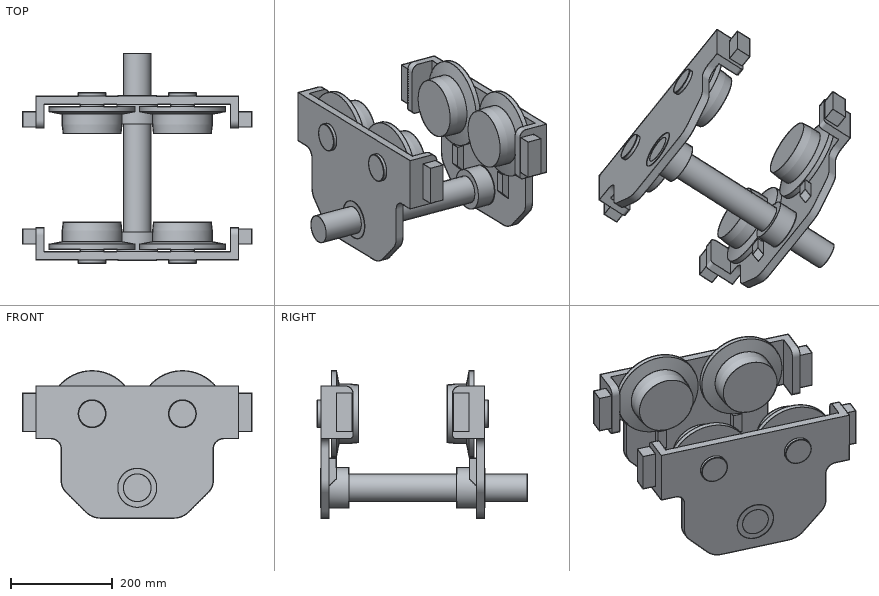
import cadquery as cq


plate_length = 398.0
plate_thickness = 16.0
plate_outer_y = 160.5
plate_inner_y = plate_outer_y - plate_thickness
plate_top_z = 200.0
plate_bottom_z = -60.0
ear_height = 103.5
ear_bottom_z = plate_top_z - ear_height
web_width = 299.0
corner_chamfer = 60.8
web_corner_radius = 32.5
foot_corner_radius = 42.8
ear_notch_radius = 20.0

ear_depth = 63.0
ear_top_radius = 15.0
ear_bottom_radius = 7.0

buffer_length = 26.0
buffer_width = 30.0
buffer_height = 75.0
buffer_setback = 30.5
buffer_z = plate_top_z - ear_height / 2

wheel_spacing = 177.5
wheel_z = 145.5
pin_head_diameter = 54.5
pin_head_height = 7.0
pin_tip_diameter = 52.5
pin_chamfer = 1.0
pin_neck_diameter = 47.0
pin_neck_length = 4.5
flange_diameter = 169.0
flange_thickness = 10.0
flange_cone_width = 5.0
tread_diameter = 117.5
tread_width = 21.0
nose_diameter = 113.5
nose_width = 17.0

lug_spacing = 159.5
lug_width = 18.0
lug_thickness = 14.0
lug_top_z = 58.0
lug_toe_z = 3.5

shaft_diameter = 54.5
shaft_rear_y = 244.5
bush_collar_diameter = 80.0
bush_collar_length = 38.5
bush_spigot_diameter = 76.5
bush_protrusion = 1.0
bush_outer_y = plate_outer_y + bush_protrusion


def cylinder_y(diameter, y_start, y_end):
    """Cylinder on the shaft axis between two Y positions."""
    axis_start = cq.Vector(0, y_start, 0)
    cylinder = cq.Solid.makeCylinder(diameter / 2, y_end - y_start, axis_start, cq.Vector(0, 1, 0))
    return cq.Workplane(cylinder)


def box_between(x_start, x_end, y_start, y_end, z_start, z_end):
    """Box given by its limits along each axis."""
    size = (x_end - x_start, y_end - y_start, z_end - z_start)
    return cq.Workplane().box(*size, centered=False).translate((x_start, y_start, z_start))


def make_plate():
    """Flat side plate with clipped lower corners and the hole for a bush."""
    half_length = plate_length / 2
    half_web = web_width / 2
    half_foot = half_web - corner_chamfer
    chamfer_top_z = plate_bottom_z + corner_chamfer
    right_side = [
        (half_foot, plate_bottom_z),
        (half_web, chamfer_top_z),
        (half_web, ear_bottom_z),
        (half_length, ear_bottom_z),
        (half_length, plate_top_z),
    ]
    left_side = [(-x, z) for x, z in reversed(right_side)]
    plate = (
        cq.Workplane("XZ", origin=(0, plate_outer_y, 0))
        .polyline(right_side + left_side)
        .close()
        .extrude(plate_thickness)
    )
    for side in (-1, 1):
        for x, z, radius in (
            (half_foot, plate_bottom_z, foot_corner_radius),
            (half_web, chamfer_top_z, web_corner_radius),
            (half_web, ear_bottom_z, ear_notch_radius),
        ):
            corner = cq.selectors.NearestToPointSelector((side * x, plate_outer_y - plate_thickness / 2, z))
            plate = plate.edges("|Y").edges(corner).fillet(radius)
    return plate.cut(cylinder_y(bush_spigot_diameter, plate_inner_y, plate_outer_y))


def make_ear():
    """Ear at the +X end with rounded inner corners and a buffer block outside."""
    ear_outer_x = plate_length / 2
    ear = box_between(
        ear_outer_x - plate_thickness, ear_outer_x,
        plate_outer_y - ear_depth, plate_outer_y,
        ear_bottom_z, plate_top_z,
    )
    ear = ear.faces(">Z").edges("<Y").fillet(ear_top_radius)
    ear = ear.faces("<Z").edges("<Y").fillet(ear_bottom_radius)
    buffer_outer_y = plate_outer_y - buffer_setback
    buffer = box_between(
        ear_outer_x, ear_outer_x + buffer_length,
        buffer_outer_y - buffer_width, buffer_outer_y,
        buffer_z - buffer_height / 2, buffer_z + buffer_height / 2,
    )
    return ear.union(buffer)


def make_lug():
    """Stop lug on the +X half of a plate's inner face, sloped at 45 degrees underneath."""
    lug_front_y = plate_inner_y - lug_thickness
    return (
        cq.Workplane("YZ", origin=((lug_spacing - lug_width) / 2, 0, 0))
        .polyline([
            (plate_inner_y, lug_top_z),
            (lug_front_y, lug_top_z),
            (lug_front_y, lug_toe_z + lug_thickness),
            (plate_inner_y, lug_toe_z),
        ])
        .close()
        .extrude(lug_width)
    )


def make_wheel():
    """Flanged wheel on the +X half, turned as one with its chamfered pin."""
    flange_back = plate_inner_y - pin_neck_length
    flange_front = flange_back - flange_thickness
    tread_start = flange_front - flange_cone_width
    tread_end = tread_start - tread_width
    nose_end = tread_end - nose_width
    head_end = plate_outer_y + pin_head_height
    half_section = [
        (0, head_end),
        (pin_tip_diameter / 2, head_end),
        (pin_head_diameter / 2, head_end - pin_chamfer),
        (pin_head_diameter / 2, plate_outer_y),
        (pin_neck_diameter / 2, plate_outer_y),
        (pin_neck_diameter / 2, flange_back),
        (flange_diameter / 2, flange_back),
        (flange_diameter / 2, flange_front),
        (tread_diameter / 2, tread_start),
        (tread_diameter / 2, tread_end),
        (nose_diameter / 2, nose_end),
        (0, nose_end),
    ]
    wheel = cq.Workplane("XY").polyline(half_section).close().revolve(360, (0, 0), (0, 1))
    return wheel.translate((wheel_spacing / 2, 0, wheel_z))


def make_side_unit():
    """Rear side unit: plate with its ears, buffers, lugs and two pinned wheels as one solid."""
    unit = make_plate()
    for feature in (make_ear(), make_lug(), make_wheel()):
        unit = unit.union(feature).union(feature.mirror("YZ"))
    return unit


def make_bush():
    """Rear bush: collar inside the plate, spigot through the plate, bore for the shaft."""
    collar = cylinder_y(bush_collar_diameter, plate_inner_y - bush_collar_length, plate_inner_y)
    spigot = cylinder_y(bush_spigot_diameter, plate_inner_y, bush_outer_y)
    bore = cylinder_y(shaft_diameter, plate_inner_y - bush_collar_length, bush_outer_y)
    return collar.union(spigot).cut(bore)


def make_shaft():
    """Cross shaft, flush with the front bush and reaching out past the rear one."""
    return cylinder_y(shaft_diameter, -bush_outer_y, shaft_rear_y)


shaft = make_shaft()
side_units = []
bushes = []
for turn in (0, 180):
    side_units.append(make_side_unit().rotate((0, 0, 0), (0, 0, 1), turn))
    bushes.append(make_bush().rotate((0, 0, 0), (0, 0, 1), turn))

result = cq.Compound.makeCompound(
    [shaft.val()]
    + [unit.val() for unit in side_units]
    + [bush.val() for bush in bushes]
)